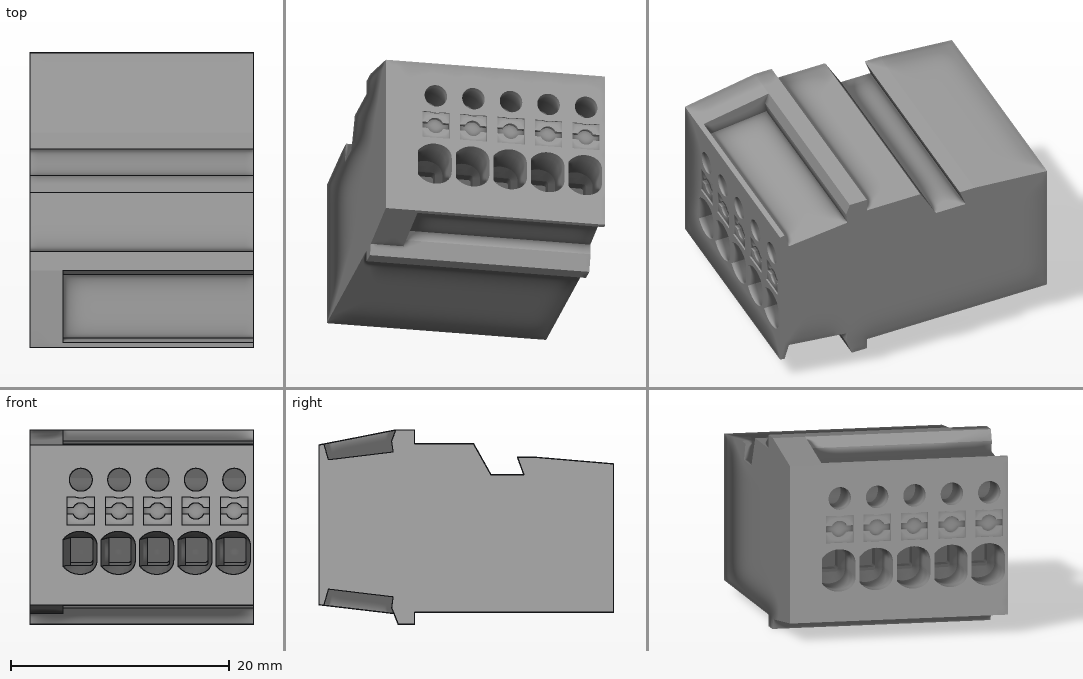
import cadquery as cq
import math

width = 20.5
length = 27.0
height = 17.8

face_bottom = 1.78
face_top = 16.42
rib_front = 7.25
rib_slope_end = 6.88
rib_slope_end_z = 0.97
ridge_back = 8.78
ridge_front = 7.05
underside = 1.08
deck_top = 16.52
deck_back = 14.18
notch_floor = 13.7
notch_front = 15.77
notch_back = 18.76
tail_front = 18.17
tail_slope_start = 19.68
tail_top = 15.3
tail_end_top = 14.7

end_wall = 3.05
lip_top_depth = 0.45
lip_root_depth = 0.9
upper_tip_y = 6.67
undercut_lean = 0.14
upper_tip_drop = 1.03
lower_tip_rise = 1.5
undercut_height = 1.0
recess_floor_slope = 0.12
cut_clearance = 0.27

pole_count = 5
pole_pitch = 3.5
first_pole = 4.67

release_z = 13.23
release_radius = 1.05
release_depth = 4.32
end_round_rise = 0.14
end_round_radius = 1.78
end_round_tilt = 16

test_z = 10.37
test_size = 2.55
test_recess = 0.15
collar_radius = 1.67
slot_height = 0.6
slot_bore_radius = 0.75
slot_depth = 0.4

entry_shift = -0.08
entry_z = 6.53
entry_radius = 1.97
entry_half_width = 1.57
entry_corner = 1.22
entry_depth = 4.32
funnel_depth = 1.35
throat_shift = 0.08
throat_width = 2.02
throat_bottom = 5.4
throat_top = 7.95
throat_corner = 0.22
throat_step = 0.27
throat_depth = 1.08


def extrude_along_x(points, x_start, x_end):
    """Extrude a closed (y, z) outline between two X positions."""
    return cq.Workplane("YZ", origin=(x_start, 0, 0)).polyline(points).close().extrude(x_end - x_start)


def face_plane(x, z, depth=0.0):
    """Workplane at a depth behind the wiring face, with its normal pointing out (-Y)."""
    return cq.Workplane("XZ", origin=(x, depth, z))


def housing():
    return extrude_along_x(
        [
            (0, face_bottom),
            (rib_slope_end, rib_slope_end_z),
            (rib_front, 0),
            (ridge_back, 0),
            (ridge_back, underside),
            (length, underside),
            (length, tail_end_top),
            (tail_slope_start, tail_top),
            (tail_front, tail_top),
            (notch_back, notch_floor),
            (notch_front, notch_floor),
            (deck_back, deck_top),
            (ridge_back, deck_top),
            (ridge_back, height),
            (ridge_front, height),
            (0, face_top),
        ],
        0,
        width,
    )


def label_recess(lip_z, opening, tip, inward):
    """Recess between the front lip and an undercut ledge; inward is +1 or -1 along Z."""
    tip_y, tip_z = tip
    floor_back_y = tip_y + undercut_lean
    floor_back_z = tip_z + inward * undercut_height
    floor_front_z = floor_back_z + inward * recess_floor_slope * (floor_back_y - lip_root_depth)
    outside_z = opening[1] - inward * cut_clearance
    return extrude_along_x(
        [
            (lip_top_depth, outside_z),
            (lip_top_depth, lip_z),
            (lip_root_depth, floor_front_z),
            (floor_back_y, floor_back_z),
            tip,
            opening,
            (opening[0], outside_z),
        ],
        end_wall,
        width,
    )


def upper_recess():
    lip_z = face_top + (height - face_top) * lip_top_depth / ridge_front
    return label_recess(lip_z, (ridge_front, height), (upper_tip_y, height - upper_tip_drop), -1)


def lower_recess():
    """The ledge continues the sloping front of the rib up to its tip."""
    lip_z = face_bottom - (face_bottom - rib_slope_end_z) * lip_top_depth / rib_slope_end
    rib_lean = (rib_front - rib_slope_end) / rib_slope_end_z
    tip = (rib_front - rib_lean * lower_tip_rise, lower_tip_rise)
    return label_recess(lip_z, (rib_slope_end, rib_slope_end_z), tip, 1)


def release_hole(x):
    """Blind round hole whose floor curves up to about the middle of its end face."""
    bore = face_plane(x, release_z).circle(release_radius).extrude(-release_depth)
    top_angle = math.radians(end_round_tilt)
    centre_y = release_depth - end_round_radius * math.cos(top_angle)
    round_top_z = release_z + end_round_rise
    centre_z = round_top_z + end_round_radius * math.sin(top_angle)
    rise = centre_z - (release_z - release_radius)
    floor_y = centre_y + math.sqrt(end_round_radius**2 - rise**2)
    mid_angle = (top_angle + math.asin(rise / end_round_radius)) / 2
    mid_point = (
        centre_y + end_round_radius * math.cos(mid_angle),
        centre_z - end_round_radius * math.sin(mid_angle),
    )
    rounded_end = (
        cq.Workplane("YZ", origin=(x - release_radius, 0, 0))
        .moveTo(floor_y, release_z - release_radius)
        .threePointArc(mid_point, (release_depth, round_top_z))
        .lineTo(release_depth, release_z - release_radius)
        .close()
        .extrude(2 * release_radius)
    )
    return bore.cut(rounded_end)


def test_slot(x):
    """Shallow square recess, trimmed by the release hole collar, with a keyhole slot in its floor."""
    collar = face_plane(x, release_z).circle(collar_radius).extrude(-test_recess)
    recess = face_plane(x, test_z).rect(test_size, test_size).extrude(-test_recess).cut(collar)
    slot_end = test_recess + slot_depth
    slot = face_plane(x, test_z).rect(test_size, slot_height).extrude(-slot_end)
    bore = face_plane(x, test_z).circle(slot_bore_radius).extrude(-slot_end)
    return recess.union(slot).union(bore)


def entry_outline(plane):
    """Circle with flat sides: sharp corners on the left, rounded corners on the right."""
    left_flat = math.sqrt(entry_radius**2 - entry_half_width**2)
    corner_x = entry_half_width - entry_corner
    corner_z = math.sqrt((entry_radius - entry_corner) ** 2 - corner_x**2)
    corner_angle = math.atan2(corner_z, corner_x)
    join_x = entry_radius * math.cos(corner_angle)
    join_z = entry_radius * math.sin(corner_angle)
    mid_x = corner_x + entry_corner * math.cos(corner_angle / 2)
    mid_z = corner_z + entry_corner * math.sin(corner_angle / 2)
    return (
        plane.moveTo(-entry_half_width, left_flat)
        .threePointArc((0, entry_radius), (join_x, join_z))
        .threePointArc((mid_x, mid_z), (entry_half_width, corner_z))
        .lineTo(entry_half_width, -corner_z)
        .threePointArc((mid_x, -mid_z), (join_x, -join_z))
        .threePointArc((0, -entry_radius), (-entry_half_width, -left_flat))
        .close()
    )


def wire_entry(x):
    """Straight entry, funnel down to a rectangle, then a stepped throat."""
    entry_x = x + entry_shift
    left = throat_shift - entry_shift - throat_width / 2
    right = left + throat_width
    bottom = throat_bottom - entry_z
    top = throat_top - entry_z
    straight = entry_outline(face_plane(entry_x, entry_z)).extrude(-entry_depth)
    funnel = (
        entry_outline(face_plane(entry_x, entry_z, entry_depth))
        .workplane(offset=-funnel_depth)
        .moveTo(left, top)
        .lineTo(right - throat_corner, top)
        .radiusArc((right, top - throat_corner), throat_corner)
        .lineTo(right, bottom + throat_corner)
        .radiusArc((right - throat_corner, bottom), throat_corner)
        .lineTo(left, bottom)
        .close()
        .loft(ruled=True)
    )
    throat_height = throat_top - throat_bottom - throat_step
    throat = (
        face_plane(x + throat_shift, throat_top - throat_height / 2, entry_depth + funnel_depth)
        .rect(throat_width, throat_height)
        .extrude(-throat_depth)
        .edges("|Y and >X")
        .fillet(throat_corner)
    )
    return straight.union(funnel).union(throat)


result = housing().cut(upper_recess()).cut(lower_recess())
for pole in range(pole_count):
    pole_x = first_pole + pole * pole_pitch
    result = result.cut(release_hole(pole_x)).cut(test_slot(pole_x)).cut(wire_entry(pole_x))
result = result.clean().solids()